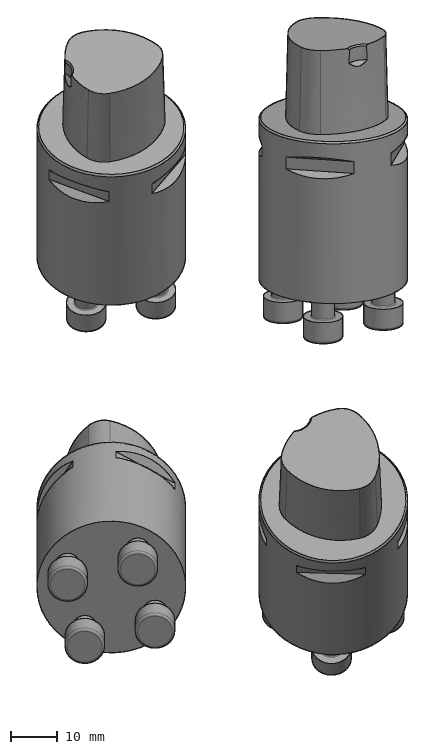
import cadquery as cq
import math

taper_height = 19.0
body_height = 36.85
shank_length = 4.7
head_height = 5.0

body_diameter = 32.0
shoulder_chamfer = 0.4

lobe_directions = (90, 210, 330)
half_lobe_pitch = 60
lobe_offset = 6.3
side_arc_offset = 5.4
base_lobe_radius = 5.5
taper_ratio = 1 / 20

notch_radius = 3.9
notch_inner_reach = 8.9
notch_wall_depth = 3.5
notch_chamfer = 0.3

groove_count = 4
first_groove_direction = 45.0
groove_depth = 1.85
groove_floor_height = 2.7
groove_side_angle = 30.0
groove_center_drop = 6.05

bolt_spacing = 15.55
shank_diameter = 5.0
head_diameter = 8.5
head_fillet = 0.5
neck_fillet = 0.2


def polar(radius, degrees):
    angle = math.radians(degrees)
    return radius * math.cos(angle), radius * math.sin(angle)


def lobed_outline(height, lobe_radius):
    """Closed outline of alternating lobe arcs and long arcs, one lobe toward +Y."""
    sideways = lobe_offset * math.sin(math.radians(half_lobe_pitch))
    forward = lobe_offset * math.cos(math.radians(half_lobe_pitch)) + side_arc_offset
    side_radius = lobe_radius + math.hypot(sideways, forward)
    side_half_angle = math.degrees(math.atan2(sideways, forward))

    def side_arc_point(side_direction, turn):
        center_x, center_y = polar(side_arc_offset, side_direction + 180)
        dx, dy = polar(side_radius, side_direction + turn)
        return center_x + dx, center_y + dy

    tip_radius = lobe_offset + lobe_radius
    start = side_arc_point(lobe_directions[0] - half_lobe_pitch, side_half_angle)
    outline = cq.Workplane("XY", origin=(0, 0, height)).moveTo(*start)
    for lobe_direction in lobe_directions:
        side_direction = lobe_direction + half_lobe_pitch
        outline = outline.threePointArc(
            polar(tip_radius, lobe_direction),
            side_arc_point(side_direction, -side_half_angle),
        )
        outline = outline.threePointArc(
            side_arc_point(side_direction, 0),
            side_arc_point(side_direction, side_half_angle),
        )
    return outline.close().val()


def make_taper():
    tip_lobe_radius = base_lobe_radius - taper_height * taper_ratio / 2
    base = lobed_outline(0, base_lobe_radius)
    tip = lobed_outline(taper_height, tip_lobe_radius)
    return cq.Workplane(cq.Solid.makeLoft([base, tip], True))


def make_notch_cutter():
    """Round cutter with a 45 degree cone at its end and a 45 degree flare at the tip face."""
    wall_end = taper_height - notch_wall_depth
    return (
        cq.Workplane("XZ")
        .moveTo(0, wall_end - notch_radius)
        .lineTo(notch_radius, wall_end)
        .lineTo(notch_radius, taper_height - notch_chamfer)
        .lineTo(notch_radius + notch_chamfer, taper_height)
        .lineTo(0, taper_height)
        .close()
        .revolve(360, (0, 0), (0, 1))
        .translate((0, -notch_inner_reach - notch_radius, 0))
    )


def make_body():
    body = cq.Workplane("XY").circle(body_diameter / 2).extrude(-body_height)
    body = body.faces(">Z").edges().chamfer(shoulder_chamfer)
    floor_distance = body_diameter / 2 - groove_depth
    floor_half = groove_floor_height / 2
    mouth_half = floor_half + groove_depth * math.tan(math.radians(groove_side_angle))
    groove = (
        cq.Workplane("XZ")
        .moveTo(floor_distance, -floor_half)
        .lineTo(body_diameter / 2, -mouth_half)
        .lineTo(body_diameter / 2, mouth_half)
        .lineTo(floor_distance, floor_half)
        .close()
        .extrude(body_diameter / 2, both=True)
        .translate((0, 0, -groove_center_drop))
    )
    for index in range(groove_count):
        turn = first_groove_direction + index * 360 / groove_count
        body = body.cut(groove.rotate((0, 0, 0), (0, 0, 1), turn))
    return body


def make_bolts():
    bolt = (
        cq.Workplane("XY")
        .circle(head_diameter / 2)
        .extrude(head_height)
        .faces("<Z")
        .edges()
        .fillet(head_fillet)
        .faces(">Z")
        .workplane()
        .circle(shank_diameter / 2)
        .extrude(shank_length)
    )
    shank_edge = cq.selectors.RadiusNthSelector(0)
    bolt = bolt.faces("<Z[-2]").edges(shank_edge).fillet(neck_fillet)
    bolt_bottom = -body_height - shank_length - head_height
    return (
        cq.Workplane("XY", origin=(0, 0, bolt_bottom))
        .rect(bolt_spacing, bolt_spacing, forConstruction=True)
        .vertices()
        .eachpoint(lambda place: bolt.val().located(place), combine=False)
    )


taper = make_taper().cut(make_notch_cutter())
result = make_body().union(taper).union(make_bolts())